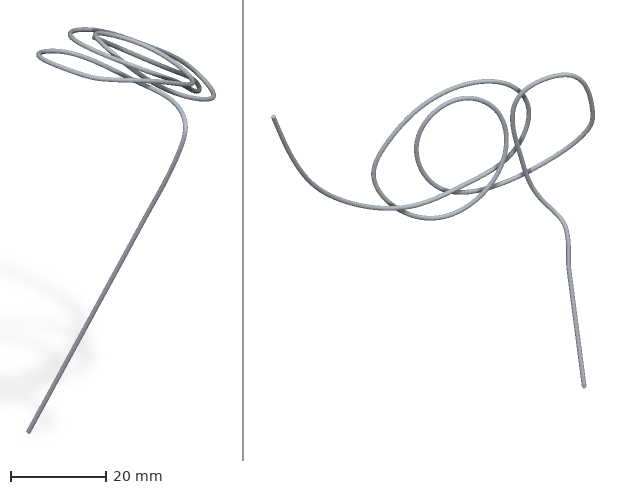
import cadquery as cq


WIRE_DIAMETER = 1.0
COILED_STRETCHES = 6
LEAD_IN_DIRECTION = (0.88, 0.48, 0)

LEAD_IN = [
    (-40.3, 11.75, 15.3),
    (-16.3, 22.1, 16.8),
    (-10.95, 22.8, 18.2),
    (8.5, 17.8, 24.75),
    (17.4, 10.6, 32.3),
]
LARGE_COIL = [
    (22.0, 3.1, 38.0),
    (17.6, -6.95, 42.3),
    (8.9, -9.8, 41.9),
    (0.4, -6.2, 39.2),
    (-5.0, 2.7, 34.7),
    (-5.8, 11.6, 29.8),
    (-3.65, 17.8, 26.7),
    (5.25, 21.0, 24.9),
    (18.1, 17.1, 27.6),
]
SMALL_COIL = [
    (21.2, 7.8, 32.4),
    (18.2, 0.1, 37.7),
    (12.9, -3.1, 40.1),
    (1.7, -1.7, 38.4),
    (-0.9, 3.8, 35.4),
    (1.3, 10.1, 32.8),
    (13.8, 14.8, 31.0),
]
OUTER_TURN = [
    (22.2, 11.4, 33.9),
    (30.4, 1.2, 40.25),
    (31.8, -9.9, 43.2),
    (31.2, -11.9, 43.45),
    (27.7, -15.8, 43.9),
    (16.65, -20.0, 43.4),
    (10.8, -11.8, 39.9),
    (22.4, 0.0, 36.5),
    (34.6, 5.25, 34.9),
]
LAST_BEND = [
    (39.5, 4.7, 32.7),
    (39.8, 3.2, 27.8),
    (34.55, -2.4, 10.95),
]
TAIL_END = (18.0, -22.8, -44.25)


def sweep_stretch(path, diameter):
    """Sweep a round section, square to the path at its start, along the path."""
    start_plane = cq.Plane(origin=path.startPoint(), normal=path.tangentAt(0))
    return cq.Workplane(start_plane).circle(diameter / 2).sweep(cq.Workplane(path)).val()


def split_curve(curve, count):
    """Cut a curve into stretches that each cover an equal share of its parameter range."""
    curve_start, curve_end = curve.bounds()
    step = (curve_end - curve_start) / count
    starts = [curve_start + index * step for index in range(count)]
    return [curve.trim(start, start + step) for start in starts]


def make_wire(points, tail_end, diameter):
    """Follow one smooth curve through the points, then run straight on to the tail end."""
    vectors = [cq.Vector(point) for point in points]
    tail_line = cq.Edge.makeLine(vectors[-1], cq.Vector(tail_end))
    end_directions = [cq.Vector(LEAD_IN_DIRECTION), tail_line.tangentAt(0)]
    coiled_curve = cq.Edge.makeSpline(vectors, tangents=end_directions, scale=False)
    paths = split_curve(coiled_curve, COILED_STRETCHES) + [tail_line]
    pieces = [sweep_stretch(path, diameter) for path in paths]
    return cq.Workplane(pieces[0].fuse(*pieces[1:]).Solids()[0])


centreline_points = LEAD_IN + LARGE_COIL + SMALL_COIL + OUTER_TURN + LAST_BEND
result = make_wire(centreline_points, TAIL_END, WIRE_DIAMETER)